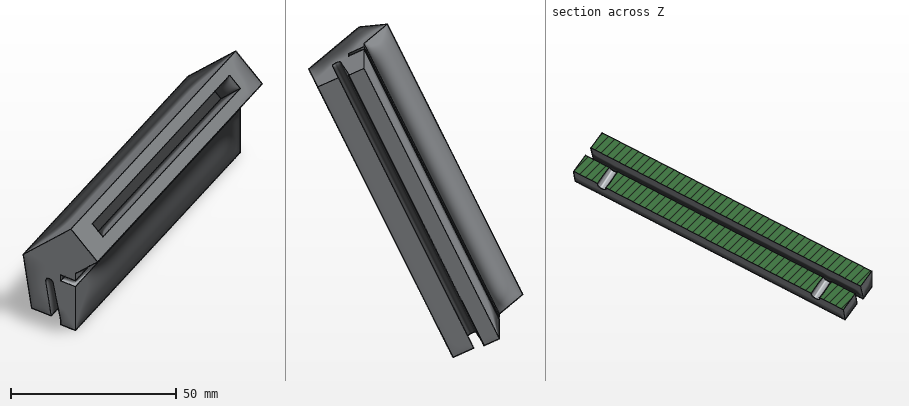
import cadquery as cq
import math

width = 26.4
length = 96.0
height = 40.11

head_angle = 46.6
head_thickness = 13.0

lean_angle = 8.4
front_leg_thickness = 6.9
front_leg_bottom = 1.95

back_face_x = 18.55
back_leg_width = 5.2
slit_bottom = 17.65
slit_height = 2.35

groove_radius = 1.35
groove_top = 16.65
groove_back_angle = 10.7

pocket_length = 80.0
pocket_width = 5.2
pocket_depth = 10.0
pocket_front_wall = 3.75

hole_diameter = 3.0
hole_height = 8.1
hole_end_distance = 10.0

head = math.radians(head_angle)
lean = math.radians(lean_angle)
groove_back = math.radians(groove_back_angle)

head_peak_x = width - head_thickness * math.sin(head)
head_corner_z = height - head_thickness * math.cos(head)
knee_z = height - head_peak_x * math.tan(head)


def leg_face_x(z):
    """X of the front leg's outer face at height z."""
    return (knee_z - z) * math.tan(lean)


def make_body():
    """Side profile of head and legs, extruded along Y about the middle."""
    leg_run = front_leg_thickness / math.cos(lean)
    back_leg_x = back_face_x - back_leg_width
    armpit_z = head_corner_z - (width - back_face_x) * math.tan(head)

    center_z = groove_top - groove_radius
    center_x = leg_face_x(center_z) + leg_run + groove_radius / math.cos(lean)
    front_tangent = (
        center_x - groove_radius * math.cos(lean),
        center_z - groove_radius * math.sin(lean),
    )
    back_tangent = (
        center_x + groove_radius * math.cos(groove_back),
        center_z + groove_radius * math.sin(groove_back),
    )
    back_wall_end_z = back_tangent[1] - (back_leg_x - back_tangent[0]) / math.tan(groove_back)

    front_leg_x = leg_face_x(front_leg_bottom)
    profile = (
        cq.Workplane("XZ")
        .moveTo(0, knee_z)
        .lineTo(head_peak_x, height)
        .lineTo(width, head_corner_z)
        .lineTo(back_face_x, armpit_z)
        .lineTo(back_face_x, 0)
        .lineTo(back_leg_x, 0)
        .lineTo(back_leg_x, back_wall_end_z)
        .lineTo(*back_tangent)
        .threePointArc((center_x, groove_top), front_tangent)
        .lineTo(front_leg_x + leg_run, front_leg_bottom)
        .lineTo(front_leg_x, front_leg_bottom)
        .close()
    )
    return profile.extrude(length / 2, both=True)


def make_slit():
    """Slit along the whole back face, as deep as the back leg is wide."""
    slit = cq.Workplane("XY").box(
        back_leg_width, length, slit_height, centered=(False, True, False)
    )
    return slit.translate((back_face_x - back_leg_width, 0, slit_bottom))


def make_pocket():
    """Long rectangular pocket sunk square into the head's end face."""
    offset = pocket_front_wall + pocket_width / 2
    center = (head_peak_x + offset * math.sin(head), 0, height - offset * math.cos(head))
    inward = (-math.cos(head), 0, -math.sin(head))
    plane = cq.Plane(origin=center, xDir=(0, 1, 0), normal=inward)
    return cq.Workplane(plane).rect(pocket_length, pocket_width).extrude(pocket_depth)


def make_holes():
    """Screw holes near both ends, ending in the groove behind the front leg."""
    drill_lead = 1.0
    drill_depth = front_leg_thickness + groove_radius / 2
    hole_y = length / 2 - hole_end_distance
    plane = cq.Plane(
        origin=(leg_face_x(hole_height), 0, hole_height),
        xDir=(0, 1, 0),
        normal=(math.cos(lean), 0, math.sin(lean)),
    )
    return (
        cq.Workplane(plane)
        .workplane(offset=-drill_lead)
        .pushPoints([(-hole_y, 0), (hole_y, 0)])
        .circle(hole_diameter / 2)
        .extrude(drill_lead + drill_depth)
    )


result = make_body().cut(make_slit()).cut(make_pocket()).cut(make_holes())